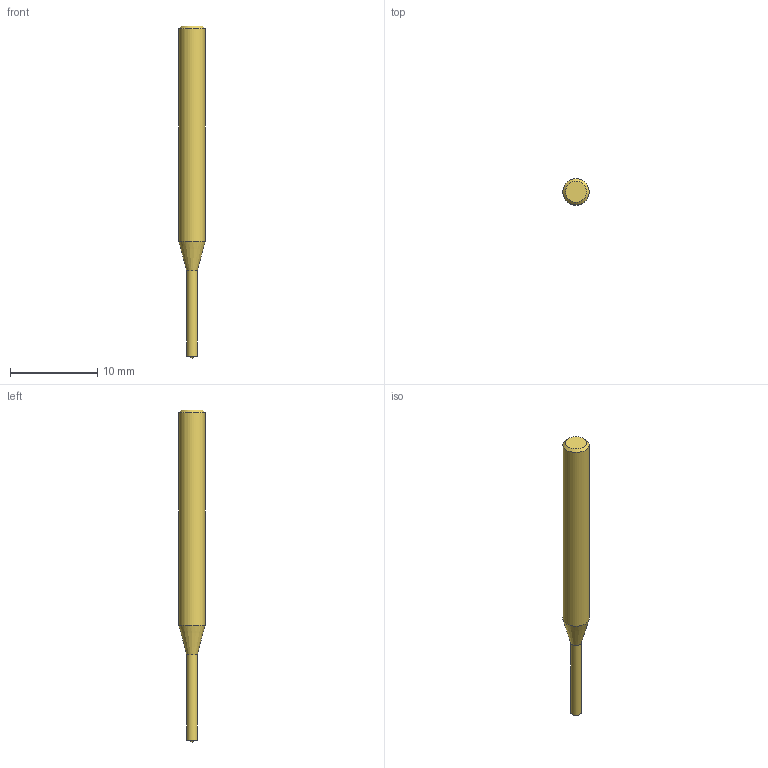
import cadquery as cq
import math

overall_length = 38.0
drill_length = 10.0

shank_diameter = 3.0
drill_diameter = 1.21
shank_chamfer = 0.3
point_angle = 140.0
taper_half_angle = 15.0

shank_radius = shank_diameter / 2
drill_radius = drill_diameter / 2
point_height = drill_radius / math.tan(math.radians(point_angle / 2))
taper_length = (shank_radius - drill_radius) / math.tan(math.radians(taper_half_angle))


def revolve_about_z(profile):
    """Revolve a closed (radius, height) outline a full turn about the Z axis."""
    return cq.Workplane("XZ").polyline(profile).close().revolve(360, (0, 0, 0), (0, 1, 0))


def make_drill():
    """Slim cylindrical drill with a conical point at its lower end."""
    return revolve_about_z([
        (0, 0),
        (drill_radius, point_height),
        (drill_radius, drill_length),
        (0, drill_length),
    ])


def make_shank():
    """Cylindrical shank, chamfered on top and tapering down to meet the drill."""
    return revolve_about_z([
        (0, drill_length),
        (drill_radius, drill_length),
        (shank_radius, drill_length + taper_length),
        (shank_radius, overall_length - shank_chamfer),
        (shank_radius - shank_chamfer, overall_length),
        (0, overall_length),
    ])


drill = make_drill()
shank = make_shank()

result = cq.Compound.makeCompound([drill.val(), shank.val()])